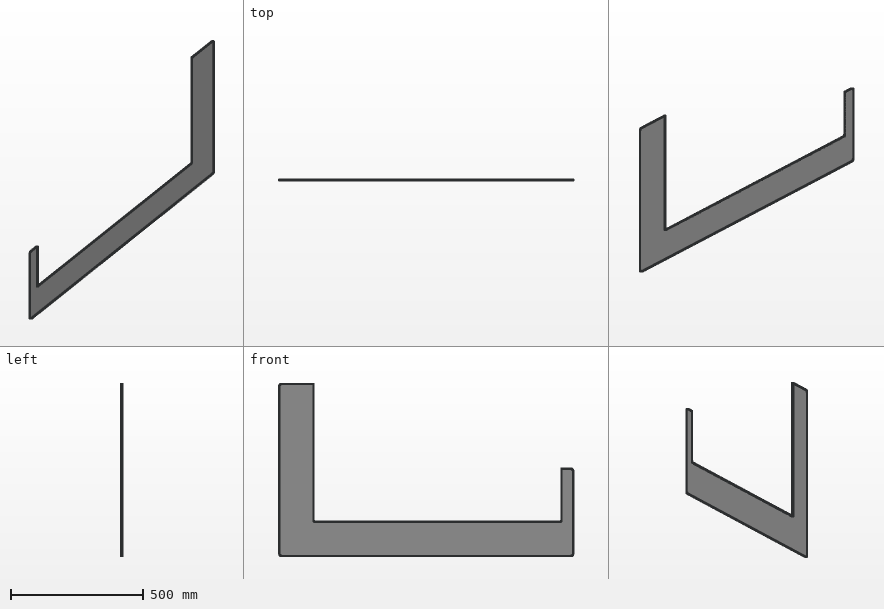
import cadquery as cq

length = 1110.0
thickness = 5.0
height = 650.0

tall_leg_width = 130.0
base_width = 130.0
short_leg_width = 45.0
short_leg_height = 330.0

outer_corner_radius = 10.0
inner_corner_radius = 5.0

rim_radius = thickness / 2

opening_left = -length / 2 + tall_leg_width
opening_right = length / 2 - short_leg_width
opening_bottom = -height / 2 + base_width

flat_left = -length / 2 + rim_radius
flat_right = length / 2 - rim_radius
flat_bottom = -height / 2 + rim_radius
tall_leg_flat_top = height / 2 - rim_radius
short_leg_flat_top = -height / 2 + short_leg_height - rim_radius
flat_corner_radius = outer_corner_radius - rim_radius


def flat_outer_path(plane):
    """Outer edge of the flat faces, from the tall leg round to the short leg."""
    r = flat_corner_radius
    return (
        plane.moveTo(opening_left, tall_leg_flat_top)
        .lineTo(flat_left + r, tall_leg_flat_top)
        .tangentArcPoint((flat_left, tall_leg_flat_top - r), relative=False)
        .lineTo(flat_left, flat_bottom + r)
        .tangentArcPoint((flat_left + r, flat_bottom), relative=False)
        .lineTo(flat_right - r, flat_bottom)
        .tangentArcPoint((flat_right, flat_bottom + r), relative=False)
        .lineTo(flat_right, short_leg_flat_top - r)
        .tangentArcPoint((flat_right - r, short_leg_flat_top), relative=False)
        .lineTo(opening_right, short_leg_flat_top)
    )


def flat_plate():
    """Plate inside the rim, with the two rounded corners of the opening."""
    r = inner_corner_radius
    back_plane = cq.Workplane("XZ", origin=(0, thickness / 2, 0))
    return (
        flat_outer_path(back_plane)
        .lineTo(opening_right, opening_bottom + r)
        .tangentArcPoint((opening_right - r, opening_bottom), relative=False)
        .lineTo(opening_left + r, opening_bottom)
        .tangentArcPoint((opening_left, opening_bottom + r), relative=False)
        .close()
        .extrude(thickness)
    )


def round_rim():
    """Half-round bead along the outer edge, flush with both plate faces."""
    path = flat_outer_path(cq.Workplane("XZ"))
    profile = (
        cq.Workplane("YZ", origin=(opening_left, 0, tall_leg_flat_top))
        .moveTo(-rim_radius, 0)
        .threePointArc((0, rim_radius), (rim_radius, 0))
        .close()
    )
    return profile.sweep(path)


result = flat_plate().union(round_rim())